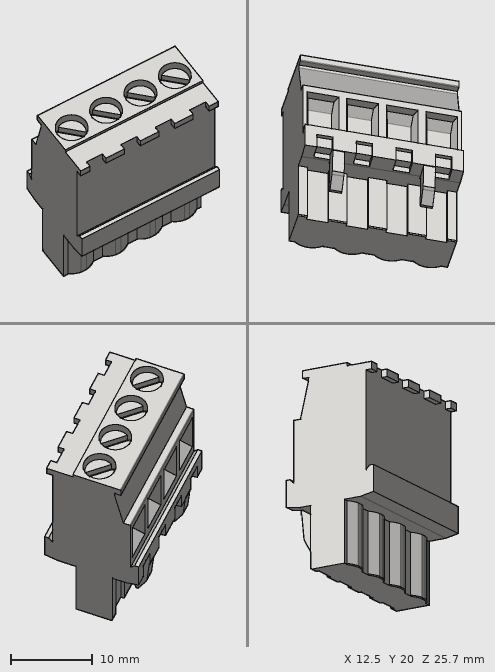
import cadquery as cq


pole_count = 4
width = 20.0
pole_pitch = width / pole_count
pole_centers = [(i - (pole_count - 1) / 2) * pole_pitch for i in range(pole_count)]

height = 25.7
depth = 12.5
collar_top = 12.0
collar_bottom = 8.2
collar_edge_rise = 0.33
collar_slope_run = 1.77
collar_lip = 0.55
body_front = 1.05
body_back = 11.44
shoulder_z = 19.53
shoulder_depth = 0.98
neck_front = 3.19
neck_bottom = 24.25
top_front = 2.35
top_lip_bottom = 24.7
top_step_x = 8.75
back_lip_top = 25.3
back_lip_bottom = 24.3
back_lip_x = 12.23
edge_round = 0.1

plug_front = 3.5
plug_back = 8.33
plug_groove_width = 2.67
plug_groove_depth = 0.5
plug_lead_in = 0.13
plug_rib_back = 9.02
plug_rib_crown = 0.03
plug_rib_radius = 2.78

entry_width = 4.0
entry_bottom = 12.85
entry_top = 18.45
entry_depth = 1.55
entry_floor_rise = 1.18
entry_roof_drop = 1.57
entry_side_taper = 0.51
entry_roof_flat = 1.08

screw_x = depth / 2
screw_hole_diameter = 4.0
screw_hole_depth = 2.05
screw_diameter = 3.6
screw_recess = 0.9
slot_width = 0.8
slot_depth = 0.9
slot_angle = 45.0

back_notch_width = 2.31
collar_notch_width = 2.05
collar_notch_top = 10.61
collar_notch_step = 9.05
collar_notch_depth = 0.5
collar_undercut_depth = 1.55

latch_width = 1.5
latch_y = pole_centers[-1] - (collar_notch_width + latch_width) / 2
latch_front = 0.08
latch_back = 1.85
latch_root_radius = 0.3
latch_bend = (0.39, 5.35)
latch_nose_start = (0.57, 4.93)
latch_tip_front = 1.55
latch_tip_z = 3.25
latch_barb = (2.13, 4.35)
latch_barb_top = 4.93


def extrude_across(outline, length, center_y=0.0):
    """Extrude an XZ outline by the given length, centred on center_y."""
    return outline.extrude(length / 2, both=True).translate((0, center_y, 0))


def box_between(x_range, y_center, y_width, z_range):
    x0, x1 = x_range
    z0, z1 = z_range
    box = cq.Workplane("XY").box(x1 - x0, y_width, z1 - z0, centered=(False, True, False))
    return box.translate((x0, y_center, z0))


def make_housing():
    groove_front = body_front - collar_lip
    groove_back = depth - body_back - collar_lip
    outline = (
        cq.Workplane("XZ")
        .moveTo(plug_front, collar_bottom)
        .lineTo(collar_slope_run, collar_bottom)
        .lineTo(0, collar_bottom + collar_edge_rise)
        .lineTo(0, collar_top)
        .lineTo(collar_lip, collar_top)
        .lineTo(body_front, collar_top - groove_front)
        .lineTo(body_front, shoulder_z)
        .lineTo(body_front + shoulder_depth, shoulder_z)
        .lineTo(neck_front, neck_bottom)
        .lineTo(neck_front, top_lip_bottom)
        .lineTo(top_front, top_lip_bottom)
        .lineTo(top_front, height)
        .lineTo(top_step_x, height)
        .lineTo(top_step_x, back_lip_top)
        .lineTo(back_lip_x, back_lip_top)
        .lineTo(back_lip_x, back_lip_bottom)
        .lineTo(body_back, back_lip_bottom)
        .lineTo(body_back, collar_top - groove_back)
        .lineTo(depth - collar_lip, collar_top)
        .lineTo(depth, collar_top)
        .lineTo(depth, collar_bottom + collar_edge_rise)
        .lineTo(depth - collar_slope_run, collar_bottom)
        .close()
    )
    housing = extrude_across(outline, width)
    rounded_corners = [(body_front, shoulder_z), (top_front, height), (top_front, top_lip_bottom)]
    for x, z in rounded_corners:
        corner = cq.selectors.NearestToPointSelector((x, 0, z))
        housing = housing.edges("|Y").edges(corner).fillet(edge_round)
    return housing


def make_plug_rib(y):
    """Shallow round rib with a flat crest on the back of the plug, chamfered at its foot."""
    rib_center_x = plug_rib_back + plug_rib_crown - plug_rib_radius
    rib = (
        cq.Workplane("XY")
        .center(rib_center_x, y)
        .circle(plug_rib_radius)
        .extrude(collar_bottom)
        .faces("<Z")
        .chamfer(plug_lead_in)
    )
    return rib.intersect(box_between((plug_back, plug_rib_back), y, pole_pitch, (0, collar_bottom)))


def make_plug():
    plug = box_between((plug_front, plug_back), 0, width, (0, collar_bottom))
    plug = plug.edges("<X and <Z").chamfer(plug_lead_in)
    for y in pole_centers:
        groove_x = (plug_front, plug_front + plug_groove_depth)
        plug = plug.cut(box_between(groove_x, y, plug_groove_width, (0, collar_bottom)))
        plug = plug.union(make_plug_rib(y))
    return plug


def make_latch(y):
    latch_top = collar_bottom + collar_edge_rise
    outline = (
        cq.Workplane("XZ")
        .moveTo(latch_front, latch_top)
        .lineTo(*latch_bend)
        .lineTo(*latch_nose_start)
        .lineTo(latch_tip_front, latch_tip_z)
        .lineTo(latch_back, latch_tip_z)
        .lineTo(*latch_barb)
        .lineTo(latch_back, latch_barb_top)
        .lineTo(latch_back, collar_bottom - latch_root_radius)
        .radiusArc((latch_back + latch_root_radius, collar_bottom), latch_root_radius)
        .lineTo(latch_back, latch_top)
        .close()
    )
    return extrude_across(outline, latch_width, y)


def make_wire_entry(y):
    """Funnel: tapered in plan and, further in, also in height."""
    back = body_front + entry_depth
    half_front = entry_width / 2
    half_back = half_front - entry_side_taper
    plan = (
        cq.Workplane("XY")
        .moveTo(body_front, -half_front)
        .lineTo(back, -half_back)
        .lineTo(back, half_back)
        .lineTo(body_front, half_front)
        .close()
        .extrude(height)
        .translate((0, y, 0))
    )
    side = (
        cq.Workplane("XZ")
        .moveTo(body_front, entry_bottom)
        .lineTo(back, entry_bottom + entry_floor_rise)
        .lineTo(back, entry_top - entry_roof_drop)
        .lineTo(body_front + entry_roof_flat, entry_top)
        .lineTo(body_front, entry_top)
        .close()
    )
    return plan.intersect(extrude_across(side, entry_width, y))


def make_screw_hole(y):
    """Round hole less the slotted screw head standing in it."""
    floor = height - screw_hole_depth
    head_top = height - screw_recess
    hole = cq.Workplane("XY").circle(screw_hole_diameter / 2).extrude(screw_hole_depth)
    head = cq.Workplane("XY").circle(screw_diameter / 2).extrude(head_top - floor)
    slot = (
        cq.Workplane("XY")
        .box(screw_hole_diameter, slot_width, slot_depth)
        .rotate((0, 0, 0), (0, 0, 1), slot_angle)
        .translate((0, 0, head_top - floor - slot_depth / 2))
    )
    return hole.cut(head.cut(slot)).translate((screw_x, y, floor))


def make_back_notch(y):
    return box_between((body_back, depth), y, back_notch_width, (back_lip_bottom, height))


def make_collar_notch(y):
    upper_z = (collar_notch_step, collar_notch_top)
    upper = box_between((0, collar_notch_depth), y, collar_notch_width, upper_z)
    lower_z = (collar_bottom, collar_notch_step)
    lower = box_between((0, collar_undercut_depth), y, collar_notch_width, lower_z)
    return upper.union(lower)


result = make_housing().union(make_plug())

for y in pole_centers:
    result = result.cut(make_wire_entry(y))
    result = result.cut(make_screw_hole(y))
    result = result.cut(make_back_notch(y))
    result = result.cut(make_collar_notch(y))

for y in (-latch_y, latch_y):
    result = result.union(make_latch(y))